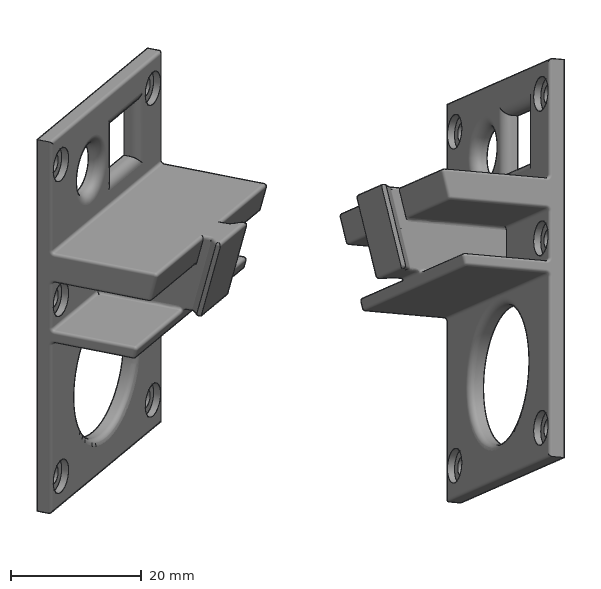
import cadquery as cq
import math

TURN = -45

PLATE_WIDTH = 38.7
PLATE_HEIGHT = 62.2
PLATE_THICKNESS = 2.5
MIDDLE = PLATE_WIDTH / 2

SCREW_DIAMETER = 2.9
HEAD_DIAMETER = 5.35
HEAD_DEPTH = 1.2
SCREW_INSET = 3.25
SCREW_HEIGHTS = (5.05, 34.65, 57.2)
WINDOW_SIZE = 9.0
WINDOW_X = 12.8
UPPER_OPENINGS_Z = 52.05
BUTTON_DIAMETER = 8.0
BUTTON_X = 24.8
MAIN_DIAMETER = 21.65
MAIN_Z = 16.35
UPPER_OPENING_ROUND = 1.5
MAIN_ROUND = 1.0

LEAN = math.radians(15)
LOWER_BOTTOM = 28.6
LOWER_TOP = 30.6
UPPER_BOTTOM = 38.75
UPPER_TOP = 43.55
SHELF_DEPTH = 20.6
EDGE_ROUND = 0.5
NECK_ROUND = 0.25

NECK_WIDTH = 6.4
RAIL_WIDTH = 9.25
NECK_DEPTH = 1.35
RIM_DEPTH = 0.8
FLARE = (RAIL_WIDTH - NECK_WIDTH) / 2
RAIL_DEPTH = NECK_DEPTH + FLARE + RIM_DEPTH

MARGIN = 0.05
ROOT_Y = PLATE_THICKNESS / 2


def back_edge(z):
    """Distance of the leaning back plane of the shelves from the plate's front at height z."""
    return SHELF_DEPTH - (UPPER_TOP - z) * math.tan(LEAN)


def half_rail(z):
    """Right half of the dovetail outline, as (offset from the middle, Y) from neck to rim."""
    neck_end = back_edge(z) + NECK_DEPTH
    return [
        (NECK_WIDTH / 2, neck_end),
        (RAIL_WIDTH / 2, neck_end + FLARE),
        (RAIL_WIDTH / 2, neck_end + FLARE + RIM_DEPTH),
    ]


def web_outline(z):
    """Right half of the web with the rail at its back."""
    return [(NECK_WIDTH / 2, ROOT_Y)] + half_rail(z)


def shelf_outline(z):
    """Right half of a plain shelf."""
    return [(MIDDLE, ROOT_Y), (MIDDLE, back_edge(z))]


def railed_shelf_outline(z):
    """Right half of a shelf with the rail at its back."""
    neck_start = (NECK_WIDTH / 2, back_edge(z))
    return shelf_outline(z) + [neck_start] + half_rail(z)


def leaning_solid(outline, bottom, top):
    """Solid between two levels of an outline given by its right half."""
    wires = []
    for z in (bottom, top):
        right = outline(z)
        left = [(-x, y) for x, y in reversed(right)]
        points = [cq.Vector(MIDDLE + x, y, z) for x, y in right + left]
        wires.append(cq.Wire.makePolygon(points, close=True))
    return cq.Workplane(cq.Solid.makeLoft(wires, True))


def through_holes(diameter, centers, start=0):
    """Round holes along Y, from the given depth to the plate's back."""
    return (
        cq.Workplane("XZ", origin=(0, start, 0))
        .pushPoints(centers)
        .circle(diameter / 2)
        .extrude(start - PLATE_THICKNESS)
    )


def back_rim(x, z, size):
    """Selects the back rim of an opening centred at (x, z)."""
    reach = size / 2 + MARGIN
    return cq.selectors.BoxSelector(
        (x - reach, PLATE_THICKNESS - MARGIN, z - reach),
        (x + reach, PLATE_THICKNESS + MARGIN, z + reach),
    )


def make_plate():
    plate = cq.Workplane("XY").box(PLATE_WIDTH, PLATE_THICKNESS, PLATE_HEIGHT, centered=False)
    window = (
        cq.Workplane("XZ")
        .center(WINDOW_X, UPPER_OPENINGS_Z)
        .rect(WINDOW_SIZE, WINDOW_SIZE)
        .extrude(-PLATE_THICKNESS)
    )
    plate = plate.cut(window)
    plate = plate.cut(through_holes(BUTTON_DIAMETER, [(BUTTON_X, UPPER_OPENINGS_Z)]))
    plate = plate.cut(through_holes(MAIN_DIAMETER, [(MIDDLE, MAIN_Z)]))
    for x, z, size, radius in (
        (WINDOW_X, UPPER_OPENINGS_Z, WINDOW_SIZE, UPPER_OPENING_ROUND),
        (BUTTON_X, UPPER_OPENINGS_Z, BUTTON_DIAMETER, UPPER_OPENING_ROUND),
        (MIDDLE, MAIN_Z, MAIN_DIAMETER, MAIN_ROUND),
    ):
        plate = plate.edges(back_rim(x, z, size)).fillet(radius)
    return plate


def cut_screw_holes(body):
    centers = [(x, z) for x in (SCREW_INSET, PLATE_WIDTH - SCREW_INSET) for z in SCREW_HEIGHTS]
    body = body.cut(through_holes(SCREW_DIAMETER, centers))
    return body.cut(through_holes(HEAD_DIAMETER, centers, PLATE_THICKNESS - HEAD_DEPTH))


def edges_near(body, xs, ys, zs):
    """Edges whose middle lies in the given ranges, widened by the margin."""
    low = (xs[0] - MARGIN, ys[0] - MARGIN, zs[0] - MARGIN)
    high = (xs[1] + MARGIN, ys[1] + MARGIN, zs[1] + MARGIN)
    return body.edges(cq.selectors.BoxSelector(low, high)).vals()


def level_edges(body):
    """Top and bottom edges of the shelves and the web, including where they meet the plate."""
    y_range = (PLATE_THICKNESS, SHELF_DEPTH + RAIL_DEPTH)
    edges = []
    for level in (LOWER_BOTTOM, LOWER_TOP, UPPER_BOTTOM, UPPER_TOP):
        edges += edges_near(body, (0, PLATE_WIDTH), y_range, (level, level))
    return edges


def plate_border(body):
    """Edges around the plate's back face."""
    back = (PLATE_THICKNESS, PLATE_THICKNESS)
    edges = []
    for x in (0, PLATE_WIDTH):
        edges += edges_near(body, (x, x), back, (0, PLATE_HEIGHT))
    for z in (0, PLATE_HEIGHT):
        edges += edges_near(body, (0, PLATE_WIDTH), back, (z, z))
    return edges


def shelf_corners(body):
    """Leaning edges at the back corners of both shelves."""
    edges = []
    for middle in ((LOWER_BOTTOM + LOWER_TOP) / 2, (UPPER_BOTTOM + UPPER_TOP) / 2):
        back = back_edge(middle)
        for x in (0, PLATE_WIDTH):
            edges += edges_near(body, (x, x), (back, back), (middle, middle))
    return edges


def neck_corners(body):
    """Leaning inner edges between the rail's neck and flare."""
    middle = (LOWER_TOP + UPPER_TOP) / 2
    neck_end = back_edge(middle) + NECK_DEPTH
    edges = []
    for x in (MIDDLE - NECK_WIDTH / 2, MIDDLE + NECK_WIDTH / 2):
        edges += edges_near(body, (x, x), (neck_end, neck_end), (middle, middle))
    return edges


body = make_plate()
body = body.union(leaning_solid(web_outline, LOWER_TOP, UPPER_TOP))
body = body.union(leaning_solid(shelf_outline, LOWER_BOTTOM, LOWER_TOP))
body = body.union(leaning_solid(railed_shelf_outline, UPPER_BOTTOM, UPPER_TOP))
body = body.clean()
body = body.newObject(neck_corners(body)).fillet(NECK_ROUND)
outer_edges = level_edges(body) + plate_border(body) + shelf_corners(body)
body = body.newObject(outer_edges).fillet(EDGE_ROUND)
body = cut_screw_holes(body)

result = body.rotate((0, 0, 0), (0, 0, 1), TURN)